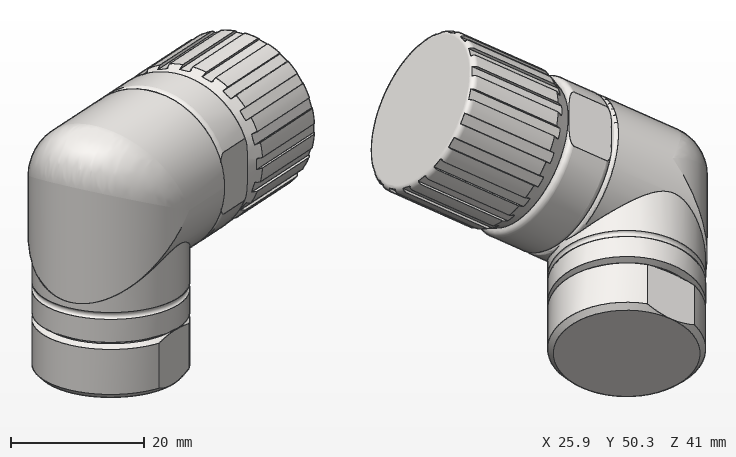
import cadquery as cq
import math


barrel_radius = 12.95
barrel_edge_fillet = 0.5
corner_straight = 0.44
corner_steps = 4

leg_radius = 11.8
leg_bottom = -28.05
round_groove_top = -13.9
round_groove_width = 1.1
round_groove_depth = 0.35
ring_bottom = -18.75
neck_radius = 10.8
neck_top = -19.2
neck_bottom = -19.4
leg_nut_top = -19.9
leg_nut_chamfer = 0.85
leg_nut_half_width = 10.95

collar_end = 19.8
collar_fillet = 1.0
collar_half_width = 11.95

total_length = 50.25
nut_cone_radius = 11.75
nut_cone_end = 22.55
nut_end_fillet = 0.9
flute_count = 20
flute_width = 1.7
flute_floor_radius = 12.5

barrel_end = leg_radius
nut_end = total_length - leg_radius
elbow_center = barrel_radius - leg_radius


def cylinder_along_y(radius, start, end):
    """Cylinder on the barrel axis between two Y positions."""
    return cq.Workplane("XZ", origin=(0, start, 0)).circle(radius).extrude(start - end)


def keep_between_flats(body, half_width):
    """Trim a body to two flats facing -X and +X."""
    room = 4 * total_length
    return body.intersect(cq.Workplane("XY").box(2 * half_width, room, room))


def corner_section(angle):
    """Half ellipse across the elbow corner, closed along X through the bend's center.

    The angle runs from 0, where the corner leaves the front, to 90 degrees, where it reaches the top.
    """
    arc_share = 1 - corner_straight
    forward = barrel_radius * (corner_straight + arc_share * math.cos(angle))
    up = barrel_radius * (corner_straight + arc_share * math.sin(angle))
    reach = cq.Vector(0, -forward, up)
    center = cq.Vector(0, elbow_center, 0)
    normal = cq.Vector(1, 0, 0).cross(reach)
    curve = cq.Edge.makeEllipse(reach.Length, barrel_radius, center, normal, reach, -90, 90)
    hinge = cq.Edge.makeLine(curve.endPoint(), curve.startPoint())
    return cq.Wire.assembleEdges([curve, hinge])


def rounded_corner():
    """Wedge hinged along X whose outside is the rounded corner of the elbow."""
    sections = [corner_section(math.pi / 2 * i / corner_steps) for i in range(corner_steps + 1)]
    loft = cq.Solid.makeLoft(sections)
    skin = max(loft.Faces(), key=lambda face: face.Area())
    sides = [cq.Face.makeFromWires(section) for section in (sections[0], sections[-1])]
    return cq.Workplane(cq.Solid.makeSolid(cq.Shell.makeShell([skin] + sides)))


def elbow():
    """Barrel meeting an upright cylinder of equal radius, with the outer upper corner rounded."""
    barrel = cylinder_along_y(barrel_radius, elbow_center, barrel_end)
    barrel = barrel.faces(">Y").edges().fillet(barrel_edge_fillet)
    upright = (
        cq.Workplane("XY", origin=(0, elbow_center, -barrel_radius))
        .circle(barrel_radius)
        .extrude(2 * barrel_radius)
    )
    bend = cylinder_along_y(barrel_radius, -leg_radius, elbow_center).intersect(upright)
    cut = 2 * barrel_radius
    wedge = (
        cq.Workplane("YZ", origin=(-cut, 0, 0))
        .moveTo(elbow_center, 0)
        .lineTo(elbow_center - cut, cut * corner_straight)
        .lineTo(elbow_center - cut, cut)
        .lineTo(elbow_center - cut * corner_straight, cut)
        .close()
        .extrude(2 * cut)
    )
    return barrel.union(bend.cut(wedge).union(rounded_corner()))


def leg():
    """Leg with a round groove, a V-shaped neck and a nut with two flats."""
    groove_bottom = round_groove_top - round_groove_width
    groove_middle = round_groove_top - round_groove_width / 2
    neck_middle = (neck_top + neck_bottom) / 2
    upper = (
        cq.Workplane("XZ")
        .lineTo(leg_radius, 0)
        .lineTo(leg_radius, round_groove_top)
        .threePointArc((leg_radius - round_groove_depth, groove_middle), (leg_radius, groove_bottom))
        .lineTo(leg_radius, ring_bottom)
        .lineTo(neck_radius, neck_top)
        .lineTo(neck_radius, neck_middle)
        .lineTo(0, neck_middle)
        .close()
        .revolve(360, (0, 0, 0), (0, 1, 0))
    )
    nut = (
        cq.Workplane("XZ")
        .moveTo(0, neck_middle)
        .lineTo(neck_radius, neck_middle)
        .lineTo(neck_radius, neck_bottom)
        .lineTo(leg_radius, leg_nut_top)
        .lineTo(leg_radius, leg_bottom + leg_nut_chamfer)
        .lineTo(leg_radius - leg_nut_chamfer, leg_bottom)
        .lineTo(0, leg_bottom)
        .close()
        .revolve(360, (0, 0, 0), (0, 1, 0))
    )
    return upper.union(keep_between_flats(nut, leg_nut_half_width))


def collar():
    """Round collar with rounded ends and two flats."""
    body = cylinder_along_y(barrel_radius, barrel_end, collar_end).edges().fillet(collar_fillet)
    return keep_between_flats(body, collar_half_width)


def coupling_nut():
    """Nut with a conical back, a rounded end and flutes all round."""
    body = (
        cq.Workplane("XY")
        .moveTo(0, collar_end)
        .lineTo(nut_cone_radius, collar_end)
        .lineTo(barrel_radius, nut_cone_end)
        .lineTo(barrel_radius, nut_end)
        .lineTo(0, nut_end)
        .close()
        .revolve(360, (0, 0, 0), (0, 1, 0))
    )
    body = body.faces(">Y").edges().fillet(nut_end_fillet)
    flute = (
        cq.Workplane("XY", origin=(0, collar_end, flute_floor_radius))
        .box(flute_width, nut_end - collar_end, flute_width, centered=(True, False, False))
    )
    for i in range(flute_count):
        body = body.cut(flute.rotate((0, 0, 0), (0, 1, 0), 360 * i / flute_count))
    return body


bent_body = elbow().union(leg(), clean=False)
result = bent_body.union(collar().union(coupling_nut()), clean=False)